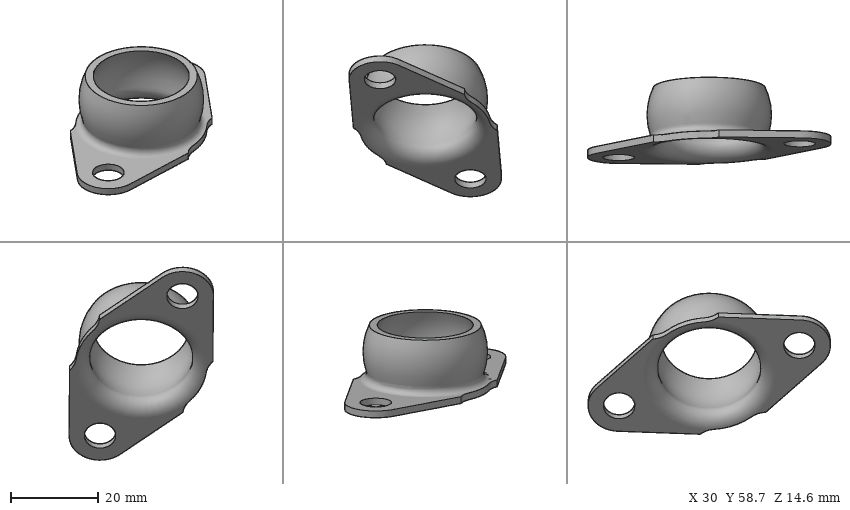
import cadquery as cq
import math

length = 58.7
height = 14.6
sheet = 1.65
ball_radius = 14.25
flare_radius = 1.6
hub_diameter = 30.0
hole_diameter = 7.15
hole_offset = 22.25
relief_radius = 5.6
relief_start_y = 4.6
ear_corner_y = 8.1

hub_radius = hub_diameter / 2
ear_radius = length / 2 - hole_offset

flare_height = sheet + flare_radius
ball_height = flare_height + math.sqrt((ball_radius + flare_radius) ** 2 - hub_radius**2)


def ear_plate(side):
    """Tapered ear on the +Y (side=1) or -Y (side=-1) half, reaching the part centre line."""
    start_angle = math.asin(relief_start_y / hub_radius)
    relief_start_x = hub_radius * math.cos(start_angle)
    relief_x = (hub_radius + relief_radius) * math.cos(start_angle)
    relief_y = (hub_radius + relief_radius) * math.sin(start_angle)
    corner_x = relief_x - math.sqrt(relief_radius**2 - (ear_corner_y - relief_y) ** 2)
    relief_mid_x = relief_x - relief_radius

    rise = hole_offset - ear_corner_y
    corner_distance = math.hypot(corner_x, rise)
    tangent_angle = math.acos(ear_radius / corner_distance) - math.atan2(rise, corner_x)
    tangent_x = ear_radius * math.cos(tangent_angle)
    tangent_y = hole_offset + ear_radius * math.sin(tangent_angle)

    return (
        cq.Workplane("XY")
        .moveTo(0, 0)
        .lineTo(relief_start_x, side * relief_start_y)
        .threePointArc((relief_mid_x, side * relief_y), (corner_x, side * ear_corner_y))
        .lineTo(tangent_x, side * tangent_y)
        .threePointArc((0, side * length / 2), (-tangent_x, side * tangent_y))
        .lineTo(-corner_x, side * ear_corner_y)
        .threePointArc((-relief_mid_x, side * relief_y), (-relief_start_x, side * relief_start_y))
        .close()
        .extrude(sheet)
    )


def revolved_profile(ball, flare, foot):
    """Solid of revolution: flat foot, concave flare, then a spherical side up to the rim."""
    flare_angle = math.atan2(flare_height - ball_height, hub_radius)
    join = (ball * math.cos(flare_angle), ball_height + ball * math.sin(flare_angle))
    mid_angle = (math.pi + flare_angle + 3 * math.pi / 2) / 2
    flare_mid = (hub_radius + flare * math.cos(mid_angle), flare_height + flare * math.sin(mid_angle))
    rim = math.sqrt(ball**2 - (height - ball_height) ** 2)

    profile = cq.Workplane("XZ").moveTo(0, 0).lineTo(hub_radius, 0)
    if foot > 0:
        profile = profile.lineTo(hub_radius, foot)
    return (
        profile.threePointArc(flare_mid, join)
        .threePointArc((ball, ball_height), (rim, height))
        .lineTo(0, height)
        .close()
        .revolve(360, (0, 0), (0, 1))
    )


body = revolved_profile(ball_radius, flare_radius, sheet)
for side in (1, -1):
    body = body.union(ear_plate(side))

body = body.cut(revolved_profile(ball_radius - sheet, flare_radius + sheet, 0))

holes = (
    cq.Workplane("XY")
    .pushPoints([(0, hole_offset), (0, -hole_offset)])
    .circle(hole_diameter / 2)
    .extrude(sheet)
)
result = body.cut(holes)